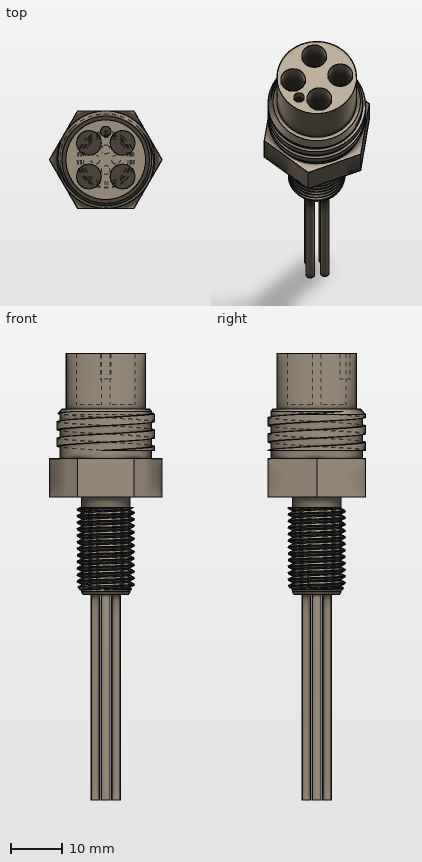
import cadquery as cq
import math

SHELL_TOP_Z = -10.85
HEX_TOP_Z = -20.5
HEX_BOTTOM_Z = -28.0
STEM_THREAD_TOP_Z = HEX_BOTTOM_Z - 2.0
STEM_BOTTOM_Z = -47.0
STEM_THREAD_BOTTOM_Z = STEM_BOTTOM_Z + 0.9

INSERT_DIAMETER = 15.5
SOCKET_DIAMETER = 4.8
SOCKET_SPACING = 6.54
SOCKET_DEPTH = 10.0
KEY_HOLE_DIAMETER = 2.0
KEY_HOLE_OFFSET = 5.5
KEY_HOLE_DEPTH = 5.0

SHELL_ROOT_DIAMETER = 17.9
SHELL_CREST_DIAMETER = 19.0
SHELL_TIP_DIAMETER = 17.0
SHELL_CHAMFER_HEIGHT = 1.1
SHELL_PITCH = 3.2
SHELL_CREST_WIDTH = 1.55
SHELL_ROOT_WIDTH = 1.7
SHELL_THREAD_BOTTOM_Z = HEX_TOP_Z + 1.6
SHELL_THREAD_PHASE_Z = SHELL_THREAD_BOTTOM_Z

HEX_ACROSS_FLATS = 19.0
HEX_ACROSS_CORNERS = HEX_ACROSS_FLATS / math.cos(math.pi / 6)

STEM_ROOT_DIAMETER = 9.5
STEM_CREST_DIAMETER = 11.1
STEM_TIP_DIAMETER = 8.7
STEM_CHAMFER_HEIGHT = 1.8
STEM_PITCH = 1.27
STEM_CREST_WIDTH = 0.2
STEM_ROOT_WIDTH = 1.1
STEM_THREAD_PHASE_Z = STEM_BOTTOM_Z + 0.7

WIRE_LENGTH = 40.0
WIRE_DIAMETER = 1.7
WIRE_OFFSET = 2.0

OVERLAP = 0.2
THREAD_SINK = 0.05
THREAD_START_ANGLE = 100
TRIM_MARGIN = 0.2


def cylinder(diameter, bottom_z, top_z):
    return cq.Workplane("XY", origin=(0, 0, bottom_z)).circle(diameter / 2).extrude(top_z - bottom_z)


def tip_trim(crest_diameter, tip_diameter, chamfer_height, tip_z, base_z):
    """Ring that turns the tip of a threaded cylinder into a cone, tip_diameter wide at tip_z."""
    toward_base = math.copysign(1, base_z - tip_z)
    slope = (crest_diameter - tip_diameter) / 2 / chamfer_height
    outline = [
        (tip_diameter / 2 - slope * TRIM_MARGIN, tip_z - toward_base * TRIM_MARGIN),
        (crest_diameter / 2 + slope * TRIM_MARGIN, tip_z + toward_base * (chamfer_height + TRIM_MARGIN)),
        (crest_diameter / 2 + slope * TRIM_MARGIN, tip_z - toward_base * TRIM_MARGIN),
    ]
    return cq.Workplane("XZ").polyline(outline).close().revolve(360, (0, 0, 0), (0, 1, 0))


def thread_ridge(root_diameter, crest_diameter, root_width, crest_width, pitch, phase_z, bottom_z, top_z):
    """Right-handed ridge, cut off flat at bottom_z and top_z; phase_z is its centre on the +X side."""
    turns_below = math.ceil((phase_z - bottom_z) / pitch) + 2
    start_z = phase_z + pitch * THREAD_START_ANGLE / 360 - turns_below * pitch
    height = (math.ceil((top_z - start_z) / pitch) + 1) * pitch
    inner_radius = root_diameter / 2 - THREAD_SINK
    crest_radius = crest_diameter / 2
    path = cq.Wire.makeHelix(pitch, height, inner_radius, cq.Vector(0, 0, start_z))
    profile = [
        (inner_radius, start_z - root_width / 2),
        (crest_radius, start_z - crest_width / 2),
        (crest_radius, start_z + crest_width / 2),
        (inner_radius, start_z + root_width / 2),
    ]
    ridge = cq.Workplane("XZ").polyline(profile).close().sweep(path, isFrenet=True)
    ridge = ridge.rotate((0, 0, 0), (0, 0, 1), THREAD_START_ANGLE)
    return ridge.intersect(cylinder(2 * crest_diameter, bottom_z, top_z))


def make_shell():
    core = cylinder(SHELL_ROOT_DIAMETER, HEX_TOP_Z, SHELL_TOP_Z)
    ridge = thread_ridge(
        SHELL_ROOT_DIAMETER, SHELL_CREST_DIAMETER, SHELL_ROOT_WIDTH, SHELL_CREST_WIDTH,
        SHELL_PITCH, SHELL_THREAD_PHASE_Z, SHELL_THREAD_BOTTOM_Z, SHELL_TOP_Z,
    )
    trim = tip_trim(
        SHELL_CREST_DIAMETER, SHELL_TIP_DIAMETER, SHELL_CHAMFER_HEIGHT, SHELL_TOP_Z, HEX_TOP_Z
    )
    return core.union(ridge).cut(trim)


def make_hexagon():
    blank = cq.Workplane("XY", origin=(0, 0, HEX_BOTTOM_Z)).polygon(6, HEX_ACROSS_CORNERS)
    return blank.extrude(HEX_TOP_Z - HEX_BOTTOM_Z)


def make_stem():
    core = cylinder(STEM_ROOT_DIAMETER, STEM_BOTTOM_Z, HEX_BOTTOM_Z)
    ridge = thread_ridge(
        STEM_ROOT_DIAMETER, STEM_CREST_DIAMETER, STEM_ROOT_WIDTH, STEM_CREST_WIDTH,
        STEM_PITCH, STEM_THREAD_PHASE_Z, STEM_THREAD_BOTTOM_Z, STEM_THREAD_TOP_Z,
    )
    trim = tip_trim(
        STEM_CREST_DIAMETER, STEM_TIP_DIAMETER, STEM_CHAMFER_HEIGHT, STEM_BOTTOM_Z, HEX_BOTTOM_Z
    )
    return core.union(ridge).cut(trim)


def make_insert():
    body = cylinder(INSERT_DIAMETER, SHELL_TOP_Z - OVERLAP, 0)
    sockets = (
        cq.Workplane("XY")
        .rarray(SOCKET_SPACING, SOCKET_SPACING, 2, 2)
        .circle(SOCKET_DIAMETER / 2)
        .extrude(-SOCKET_DEPTH)
    )
    key_hole = cylinder(KEY_HOLE_DIAMETER, -KEY_HOLE_DEPTH, 0).translate((0, KEY_HOLE_OFFSET, 0))
    return body.cut(sockets).cut(key_hole)


def make_wires():
    wires = cq.Workplane("XY", origin=(0, 0, STEM_BOTTOM_Z + OVERLAP)).polarArray(WIRE_OFFSET, 0, 360, 4)
    return wires.circle(WIRE_DIAMETER / 2).extrude(-WIRE_LENGTH - OVERLAP)


result = make_hexagon().union(make_shell()).union(make_stem()).union(make_insert()).union(make_wires())